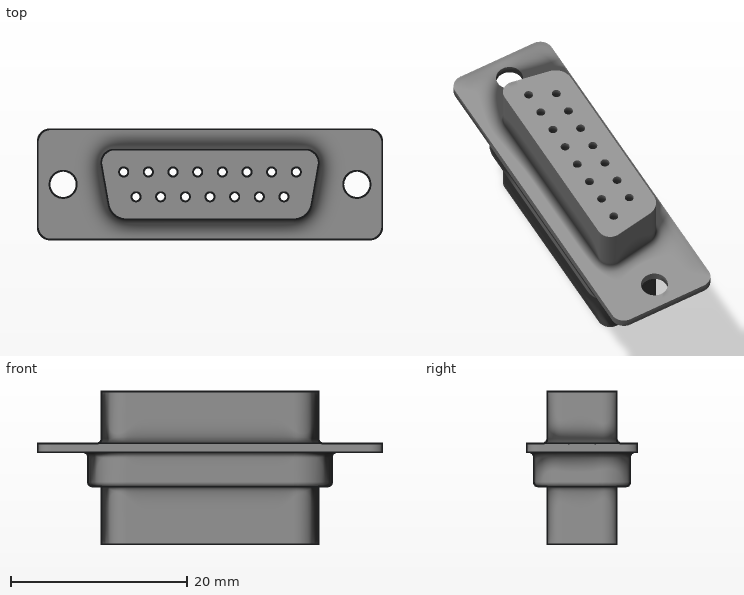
import cadquery as cq
import math

total_height = 17.35
top_z = total_height / 2
bottom_z = -total_height / 2

flange_length = 39.12
flange_width = 12.55
flange_thickness = 1.0
flange_corner_radius = 1.5
flange_top_z = top_z - 5.9
flange_bottom_z = flange_top_z - flange_thickness
mount_hole_diameter = 3.05
mount_hole_spacing = 33.33

shell_half_length = 12.32
shell_half_width = 3.95
flank_angle = math.radians(10)
wide_corner_radius = 1.5
narrow_corner_radius = 2.0

collar_offset = 1.53
collar_height = 3.87
edge_radius = 0.5

contact_diameter = 1.0
contact_pitch = 2.797
row_spacing = 2.8
wide_row_count = 8
narrow_row_count = 7


def d_outline(offset, base_z):
    """Closed D-shaped wire with rounded corners, grown outward by offset."""
    half_width = shell_half_width + offset
    wide_radius = wide_corner_radius + offset
    narrow_radius = narrow_corner_radius + offset

    wide_x = shell_half_length - wide_corner_radius
    wide_y = shell_half_width - wide_corner_radius
    narrow_y = narrow_corner_radius - shell_half_width
    radius_step = narrow_corner_radius - wide_corner_radius
    narrow_x = wide_x - (wide_y - narrow_y) * math.tan(flank_angle) - radius_step / math.cos(flank_angle)

    def arc_point(x, y, radius, angle):
        return (x + radius * math.cos(angle), y + radius * math.sin(angle))

    def mirrored(point):
        return (-point[0], point[1])

    wide_mid_angle = (math.pi / 2 - flank_angle) / 2
    narrow_mid_angle = (-math.pi / 2 - flank_angle) / 2
    wide_end = (wide_x, half_width)
    wide_mid = arc_point(wide_x, wide_y, wide_radius, wide_mid_angle)
    wide_flank = arc_point(wide_x, wide_y, wide_radius, -flank_angle)
    narrow_flank = arc_point(narrow_x, narrow_y, narrow_radius, -flank_angle)
    narrow_mid = arc_point(narrow_x, narrow_y, narrow_radius, narrow_mid_angle)
    narrow_end = (narrow_x, -half_width)

    return (
        cq.Workplane("XY", origin=(0, 0, base_z))
        .moveTo(*mirrored(wide_end))
        .lineTo(*wide_end)
        .threePointArc(wide_mid, wide_flank)
        .lineTo(*narrow_flank)
        .threePointArc(narrow_mid, narrow_end)
        .lineTo(*mirrored(narrow_end))
        .threePointArc(mirrored(narrow_mid), mirrored(narrow_flank))
        .lineTo(*mirrored(wide_flank))
        .threePointArc(mirrored(wide_mid), mirrored(wide_end))
        .close()
    )


def flange():
    return (
        cq.Workplane("XY", origin=(0, 0, flange_bottom_z))
        .rect(flange_length, flange_width)
        .extrude(flange_thickness)
        .edges("|Z")
        .fillet(flange_corner_radius)
    )


def collar():
    body = d_outline(collar_offset, flange_bottom_z - collar_height).extrude(collar_height)
    return body.faces("<Z").edges().fillet(edge_radius)


def contact_holes():
    rows = ((row_spacing / 2, wide_row_count), (-row_spacing / 2, narrow_row_count))
    points = [
        (contact_pitch * (i - (count - 1) / 2), row_y)
        for row_y, count in rows
        for i in range(count)
    ]
    return (
        cq.Workplane("XY", origin=(0, 0, bottom_z))
        .pushPoints(points)
        .circle(contact_diameter / 2)
        .extrude(total_height)
    )


def mount_holes():
    return (
        cq.Workplane("XY", origin=(0, 0, flange_bottom_z))
        .pushPoints([(-mount_hole_spacing / 2, 0), (mount_hole_spacing / 2, 0)])
        .circle(mount_hole_diameter / 2)
        .extrude(flange_thickness)
    )


def edges_at_height(body, z, half_length, half_width):
    """Edges lying in the plane at height z, within a box of the given half sizes."""
    slack = 0.05
    box = cq.selectors.BoxSelector(
        (-half_length - slack, -half_width - slack, z - slack),
        (half_length + slack, half_width + slack, z + slack),
        boundingbox=True,
    )
    return body.edges(box)


upper_shell = d_outline(0, flange_top_z).extrude(top_z - flange_top_z)
lower_shell = d_outline(0, bottom_z).extrude(flange_bottom_z - bottom_z)

result = flange().union(upper_shell).union(collar()).union(lower_shell)

result = edges_at_height(result, flange_top_z, shell_half_length, shell_half_width).fillet(edge_radius)
result = edges_at_height(
    result,
    flange_bottom_z,
    shell_half_length + collar_offset,
    shell_half_width + collar_offset,
).fillet(edge_radius)

result = result.cut(contact_holes()).cut(mount_holes())